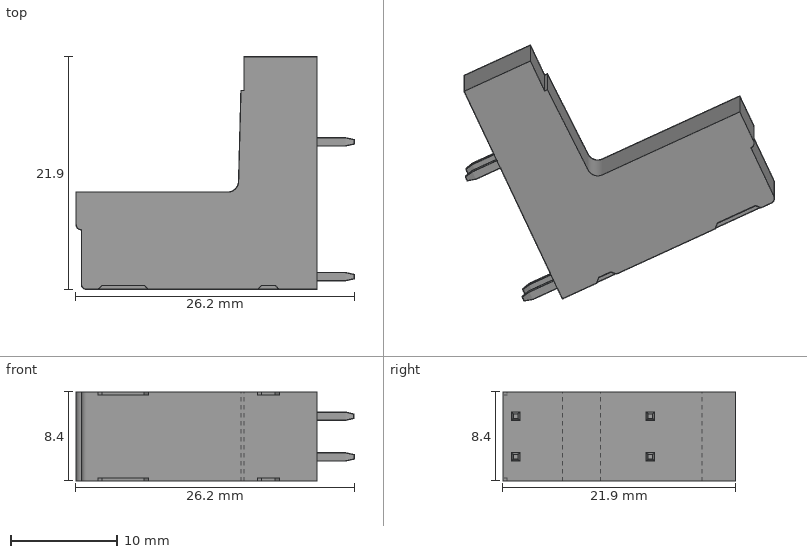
import cadquery as cq
import math

overall_length = 26.2

body_length = 22.7
body_width = 21.9
body_height = 8.4
foot_width = 9.17
arm_width = 6.9
arm_end_length = 3.17

arm_step = 0.3
wall_slope = 1.5
inner_corner_radius = 1.02

end_recess_depth = 0.5
end_recess_width = 5.6
outer_corner_radius = 0.5

notch_depth = 0.4
notch_height = 0.3
notches = [(2.07, 4.75), (17.08, 2.05)]

pin_size = 0.79
pin_tip_size = 0.42
lower_pin_length = overall_length - body_length
upper_pin_shortfall = 0.05
upper_pin_length = lower_pin_length - upper_pin_shortfall
pin_shaft_length = 2.67
pin_first_y = 1.2
pin_pitch_y = 12.68
pin_pitch_z = 3.83


def make_housing():
    arm_x = body_length - arm_width
    step_x = arm_x - arm_step
    step_y = body_width - arm_end_length
    wall_foot_x = step_x - (step_y - foot_width) * math.tan(math.radians(wall_slope))
    block = (
        cq.Workplane("XY")
        .moveTo(end_recess_depth, 0)
        .lineTo(body_length, 0)
        .lineTo(body_length, body_width)
        .lineTo(arm_x, body_width)
        .lineTo(arm_x, step_y)
        .lineTo(step_x, step_y)
        .lineTo(wall_foot_x, foot_width)
        .lineTo(0, foot_width)
        .lineTo(0, end_recess_width + end_recess_depth)
        .radiusArc((end_recess_depth, end_recess_width), -end_recess_depth)
        .close()
        .extrude(body_height)
    )
    inner_corner = cq.selectors.NearestToPointSelector((wall_foot_x, foot_width, body_height / 2))
    outer_corner = cq.selectors.NearestToPointSelector((end_recess_depth, 0, body_height / 2))
    block = block.edges(inner_corner).fillet(inner_corner_radius)
    return block.edges(outer_corner).fillet(outer_corner_radius)


def make_notch(start, length, base_z):
    return (
        cq.Workplane("XY", origin=(start, 0, base_z))
        .lineTo(length, 0)
        .lineTo(length - notch_depth, notch_depth)
        .lineTo(notch_depth, notch_depth)
        .close()
        .extrude(notch_height)
    )


def make_pin(y, z, length):
    shaft = (
        cq.Workplane("YZ", origin=(body_length, y, z))
        .rect(pin_size, pin_size)
        .extrude(pin_shaft_length)
    )
    tip = (
        shaft.faces(">X").workplane()
        .rect(pin_size, pin_size)
        .workplane(offset=length - pin_shaft_length)
        .rect(pin_tip_size, pin_tip_size)
        .loft(combine=False)
    )
    return shaft.union(tip)


result = make_housing()

for notch_start, notch_length in notches:
    for notch_base in (0, body_height - notch_height):
        result = result.cut(make_notch(notch_start, notch_length, notch_base))

lower_pin_z = (body_height - pin_pitch_z) / 2
for pin_y in (pin_first_y, pin_first_y + pin_pitch_y):
    result = result.union(make_pin(pin_y, lower_pin_z, lower_pin_length))
    result = result.union(make_pin(pin_y, lower_pin_z + pin_pitch_z, upper_pin_length))